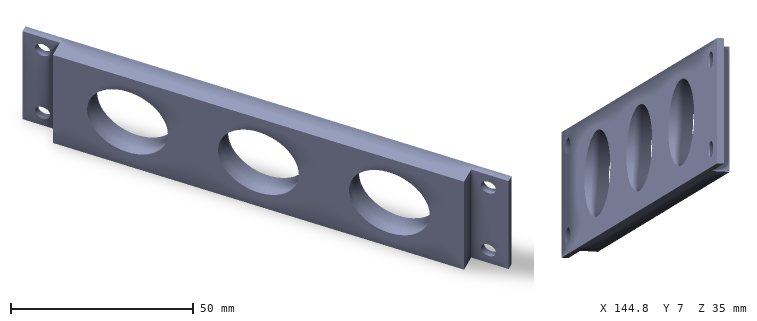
import cadquery as cq

length = 144.8
depth = 7.0
height = 35.0

flange_width = 11.15
flange_thickness = 2.0
body_length = length - 2 * flange_width

opening_diameter = 24.05
opening_pitch = 39.0
opening_count = 3

mount_hole_diameter = 4.5
mount_spacing_x = 132.8
mount_spacing_z = 25.0


def block(size_x, size_y):
    """Full-height block centred in X and Z, with its back on the Y = depth plane."""
    return (
        cq.Workplane("XY")
        .box(size_x, size_y, height)
        .translate((0, depth - size_y / 2, 0))
    )


def through_holes(plane_points, diameter):
    """Cylinders running along Y through the whole depth."""
    return (
        cq.Workplane("XZ")
        .pushPoints(plane_points)
        .circle(diameter / 2)
        .extrude(-depth)
    )


def openings():
    first_x = -opening_pitch * (opening_count - 1) / 2
    centres = [(first_x + i * opening_pitch, 0) for i in range(opening_count)]
    return through_holes(centres, opening_diameter)


def mount_holes():
    centres = [
        (side_x * mount_spacing_x / 2, side_z * mount_spacing_z / 2)
        for side_x in (-1, 1)
        for side_z in (-1, 1)
    ]
    return through_holes(centres, mount_hole_diameter)


back_plate = block(length, flange_thickness)
body = block(body_length, depth)
result = back_plate.union(body).cut(openings()).cut(mount_holes())